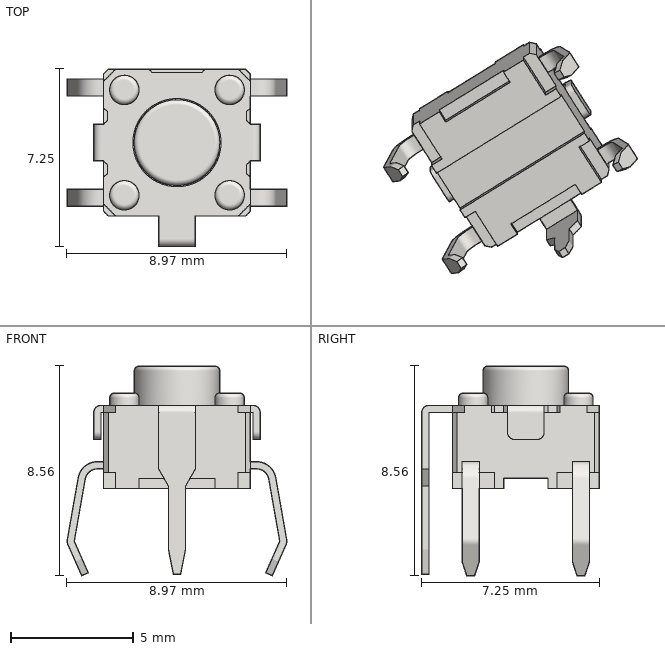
import cadquery as cq
import math


body_size = 6.0
body_height = 3.1
half_body = body_size / 2
corner_bevel = 0.2
foot_height = 0.65
corner_notch_x = 0.5
corner_notch_y = 1.72
slot_width = 1.8
recess_width = 3.1
recess_depth = 0.5
slot_height = 0.42

sheet = 0.3
cover_top = body_height + sheet
cover_bevel = 0.5
button_hole_diameter = 3.6
relief_depth = 0.17
relief_outer_y = 1.4
relief_floor_outer_y = 1.27
relief_floor_inner_y = 0.91
rear_notch_width = 2.3
rear_notch_depth = 0.13

tab_width = 1.5
tab_reach = 3.4
tab_bottom = 2.0
tab_corner_radius = 0.3

button_diameter = 3.5
button_top = 5.0
button_edge_radius = 0.2
stud_diameter = 1.2
stud_height = 0.5
stud_edge_radius = 0.2
stud_offset = 2.15

ground_width = 1.5
ground_pin_width = 0.7
ground_tip_width = 0.3
ground_reach = 4.25
ground_taper_top = 0.8
ground_taper_bottom = 0.1
ground_tip_start = -2.5
ground_bottom = -3.5

terminal_width = 0.7
terminal_tip_width = 0.33
terminal_offset_y = 2.25
terminal_top = 1.1
terminal_span = 8.97
terminal_bottom = -3.56
terminal_lean = math.radians(10)
terminal_foot_tilt = math.radians(24)
terminal_inner_radius = 0.5
terminal_knee_inner_radius = 0.1
terminal_knee_z = -2.14
terminal_tip_length = 0.62


def box_between(x_range, y_range, z_range):
    """Box given by its low and high limits along each axis."""
    sizes = [high - low for low, high in (x_range, y_range, z_range)]
    corner = (x_range[0], y_range[0], z_range[0])
    return cq.Workplane("XY").box(*sizes, centered=False).translate(corner)


def four_corners(shape):
    """The shape and its mirror images in the XZ and YZ planes."""
    pair = [shape, shape.mirror("XZ")]
    return pair + [half.mirror("YZ") for half in pair]


def make_housing():
    housing = cq.Workplane("XY").box(body_size, body_size, body_height, centered=(True, True, False))
    housing = housing.edges("|Z").chamfer(corner_bevel)

    corner_notch = box_between(
        (half_body - corner_notch_x, half_body),
        (half_body - corner_notch_y, half_body),
        (0, foot_height),
    )
    for notch in four_corners(corner_notch):
        housing = housing.cut(notch)

    cross_slot = box_between((-half_body, half_body), (-slot_width / 2, slot_width / 2), (0, slot_height))
    front_recess = box_between(
        (-recess_width / 2, recess_width / 2), (-half_body, recess_depth - half_body), (0, slot_height)
    )
    return housing.cut(cross_slot).cut(front_recess).cut(front_recess.mirror("XZ"))


def make_cover():
    cover = cq.Workplane("XY").workplane(offset=body_height).rect(body_size, body_size).extrude(sheet)
    cover = cover.edges("|Z").chamfer(cover_bevel)
    cover = cover.faces(">Z").workplane().hole(button_hole_diameter)

    relief_floor_x = half_body - relief_depth
    relief = (
        cq.Workplane("XY")
        .workplane(offset=body_height)
        .moveTo(half_body, tab_width / 2)
        .lineTo(relief_floor_x, relief_floor_inner_y)
        .lineTo(relief_floor_x, relief_floor_outer_y)
        .lineTo(half_body, relief_outer_y)
        .close()
        .extrude(sheet)
    )
    for notch in four_corners(relief):
        cover = cover.cut(notch)

    half_notch = rear_notch_width / 2
    rear_floor_y = half_body - rear_notch_depth
    rear_notch = (
        cq.Workplane("XY")
        .workplane(offset=body_height)
        .moveTo(-half_notch, half_body)
        .lineTo(rear_notch_depth - half_notch, rear_floor_y)
        .lineTo(half_notch - rear_notch_depth, rear_floor_y)
        .lineTo(half_notch, half_body)
        .close()
        .extrude(sheet)
    )
    return cover.cut(rear_notch)


def folded_strip(plane, reach, bottom, width):
    """Strip run out from the cover and folded down: sharp inside the fold, rounded outside."""
    return (
        cq.Workplane(plane)
        .moveTo(half_body - sheet, cover_top)
        .lineTo(reach - sheet, cover_top)
        .radiusArc((reach, body_height), sheet)
        .lineTo(reach, bottom)
        .lineTo(reach - sheet, bottom)
        .lineTo(reach - sheet, body_height)
        .lineTo(half_body - sheet, body_height)
        .close()
        .extrude(width / 2, both=True)
    )


def make_side_tab():
    tab = folded_strip("XZ", tab_reach, tab_bottom, tab_width)
    return tab.faces("<Z").edges("|X").fillet(tab_corner_radius)


def make_ground_lead():
    strip = folded_strip("YZ", ground_reach, ground_bottom, ground_width).mirror("XZ")
    right_side = [
        (ground_width / 2, cover_top),
        (ground_width / 2, ground_taper_top),
        (ground_pin_width / 2, ground_taper_bottom),
        (ground_pin_width / 2, ground_tip_start),
        (ground_tip_width / 2, ground_bottom),
    ]
    left_side = [(-x, z) for x, z in reversed(right_side)]
    silhouette = cq.Workplane("XZ").polyline(right_side + left_side).close().extrude(ground_reach)
    return strip.intersect(silhouette)


def make_terminal():
    """Terminal on the +X side, centred on Y = 0."""
    lean_out = (math.cos(terminal_lean), math.sin(terminal_lean))
    foot_out = (math.cos(terminal_foot_tilt), -math.sin(terminal_foot_tilt))
    foot_along = (foot_out[1], -foot_out[0])
    knee_outer_radius = terminal_knee_inner_radius + sheet
    knee_centre = (terminal_span / 2 - knee_outer_radius, terminal_knee_z)

    def offset(point, direction, distance):
        return (point[0] + distance * direction[0], point[1] + distance * direction[1])

    leg_bottom = offset(knee_centre, lean_out, terminal_knee_inner_radius)
    foot_top = offset(knee_centre, foot_out, terminal_knee_inner_radius)

    bend_z = terminal_top - sheet - terminal_inner_radius
    leg_top_z = bend_z + terminal_inner_radius * lean_out[1]
    leg_top_x = leg_bottom[0] - (leg_top_z - leg_bottom[1]) * math.tan(terminal_lean)
    bend_centre = (leg_top_x - terminal_inner_radius * lean_out[0], bend_z)
    outer_radius = terminal_inner_radius + sheet

    foot_drop = knee_centre[1] + knee_outer_radius * foot_out[1] - terminal_bottom
    foot_length = foot_drop / math.cos(terminal_foot_tilt)
    tip_start = offset(foot_top, foot_along, foot_length - terminal_tip_length)

    profile = (
        cq.Workplane("XZ")
        .moveTo(half_body - sheet, terminal_top)
        .lineTo(bend_centre[0], terminal_top)
        .radiusArc(offset(bend_centre, lean_out, outer_radius), outer_radius)
        .lineTo(*offset(knee_centre, lean_out, knee_outer_radius))
        .radiusArc(offset(knee_centre, foot_out, knee_outer_radius), knee_outer_radius)
        .lineTo(*offset(tip_start, foot_out, sheet))
        .lineTo(*tip_start)
        .lineTo(*foot_top)
        .radiusArc(leg_bottom, -terminal_knee_inner_radius)
        .lineTo(leg_top_x, leg_top_z)
        .radiusArc((bend_centre[0], terminal_top - sheet), -terminal_inner_radius)
        .lineTo(half_body - sheet, terminal_top - sheet)
        .close()
    )
    terminal = profile.extrude(terminal_width / 2, both=True)

    tip_plane = cq.Plane(
        origin=(tip_start[0], 0, tip_start[1]),
        xDir=(foot_along[0], 0, foot_along[1]),
        normal=(foot_out[0], 0, foot_out[1]),
    )
    tip = (
        cq.Workplane(tip_plane)
        .moveTo(0, -terminal_width / 2)
        .lineTo(terminal_tip_length, -terminal_tip_width / 2)
        .lineTo(terminal_tip_length, terminal_tip_width / 2)
        .lineTo(0, terminal_width / 2)
        .close()
        .extrude(sheet)
    )
    return terminal.union(tip).translate((0, terminal_offset_y, 0))


def make_button():
    button = cq.Workplane("XY").workplane(offset=body_height)
    button = button.circle(button_diameter / 2).extrude(button_top - body_height)
    return button.faces(">Z").edges().fillet(button_edge_radius)


def make_stud():
    stud = cq.Workplane("XY").workplane(offset=cover_top).center(stud_offset, stud_offset)
    stud = stud.circle(stud_diameter / 2).extrude(stud_height)
    return stud.faces(">Z").edges().fillet(stud_edge_radius)


side_tab = make_side_tab()
pieces = [make_cover(), make_button(), make_ground_lead(), side_tab, side_tab.mirror("YZ")]
pieces += four_corners(make_stud())
pieces += four_corners(make_terminal())

result = make_housing()
for piece in pieces:
    result = result.union(piece)